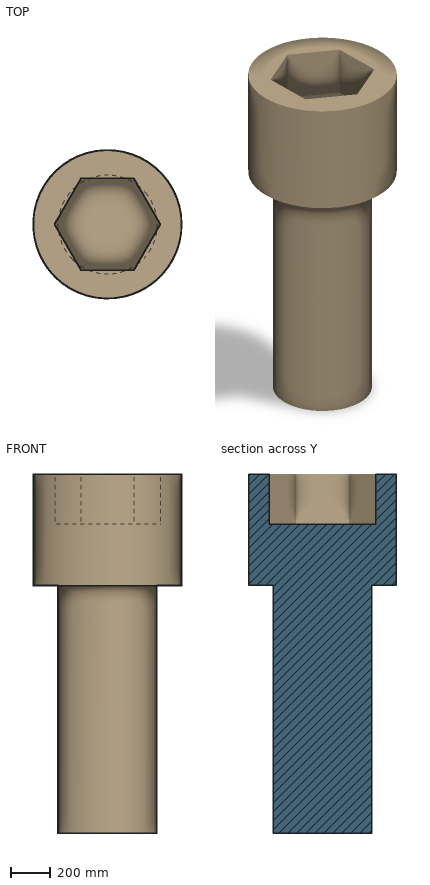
import cadquery as cq
import math

head_diameter = 762.0
head_height = 571.5
shank_diameter = 508.0
shank_length = 1270.0
socket_across_flats = 469.9
socket_depth = 254.0

total_length = shank_length + head_height


def make_shank():
    """Plain cylindrical shank with its free end at Z = 0."""
    return cq.Workplane("XY").circle(shank_diameter / 2).extrude(shank_length)


def make_head():
    """Cylindrical head on top of the shank."""
    return (
        cq.Workplane("XY")
        .workplane(offset=shank_length)
        .circle(head_diameter / 2)
        .extrude(head_height)
    )


def make_socket():
    """Blind hexagonal socket in the top of the head, with two corners on the X axis."""
    across_corners = socket_across_flats / math.cos(math.pi / 6)
    return (
        cq.Workplane("XY")
        .workplane(offset=total_length)
        .polygon(6, across_corners)
        .extrude(-socket_depth)
    )


result = make_shank().union(make_head()).cut(make_socket())